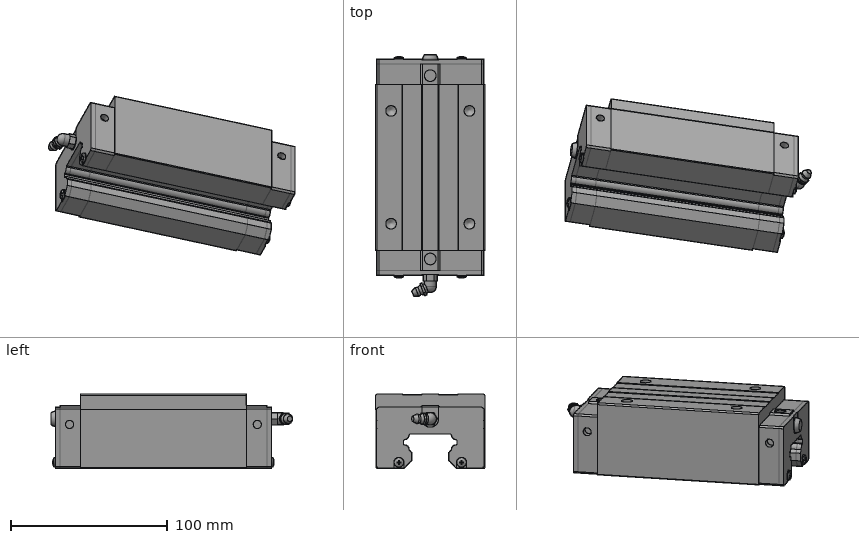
import cadquery as cq
import math

block_width = 70.0
block_length = 106.0
block_height = 47.5
block_chamfer = 1.0
block_bottom_chamfer = 0.5
datum_relief = 0.4
datum_height = 37.6

recess_inner_x = 5.1
recess_outer_x = 18.0
recess_depth = 0.4

mount_pitch_x = 50.0
mount_pitch_y = 72.0
mount_diameter = 6.8
mount_depth = 14.0
drill_point_angle = 118.0

rail_roof_z = 21.8
rail_roof_half_width = 13.0
upper_bulge_start = (13.5, 21.2)
upper_bulge_middle = (14.1, 19.6)
upper_bulge_end = (16.5, 18.2)
rail_widest_x = 17.0
rail_widest_top_z = 17.8
rail_widest_bottom_z = 15.4
lower_bulge_start = (16.5, 15.0)
lower_bulge_middle = (14.2, 14.0)
lower_bulge_end = (13.5, 12.0)
rail_throat_x = 11.8
rail_throat_top_z = 10.0
rail_throat_bottom_z = 5.0
rail_mouth_x = 16.6

cap_width = 68.6
cap_height = 39.0
cap_chamfer_width = 1.5
cap_chamfer_height = 1.0
cap_bottom_chamfer = 1.2
cap_length = 13.0
plate_thickness = 3.0
cap_end_y = block_length / 2 + cap_length
plate_end_y = cap_end_y + plate_thickness

pad_top_width = 9.8
pad_base_width = 12.5
pad_rise = 1.2
port_diameter = 7.4
port_depth = 0.8
port_y = 58.5

side_port_diameter = 5.2
side_port_depth = 5.0
side_port_y = 59.9
side_port_z = 28.0

fitting_z = 31.6
seat_radius = 5.35
seat_depth = 0.5
seat_floor_y = plate_end_y - seat_depth

screw_x = 20.0
screw_z = 3.8
screw_seat_radius = 3.2
screw_head_radius = 3.05
screw_rim_height = 0.8
screw_dome_mid_radius = 1.8
screw_dome_mid_height = 1.45
screw_head_height = 1.7
cross_length = 2.6
cross_width = 0.6
cross_depth = 0.8

plug_end_y = 71.85
plug_base_radius = 5.0
plug_tip_radius = 3.75
plug_mid_radius = 4.6

hex_flats = 8.0
hex_end_y = 72.7
elbow_radius = 3.9
elbow_y = 76.03
nipple_angle = 22.5
collar_flats = 7.3
collar_start = 4.0
collar_end = 5.5
flare_radius = 3.5
neck_radius = 2.6
neck_distance = 7.5
nipple_head_radius = 3.17
nipple_head_distance = 9.15
nipple_tip_radius = 1.75
nipple_tip_distance = 12.1


def end_prism(profile, y_start, y_end):
    """Prism along Y between two positions, from a profile on the XZ plane."""
    return profile.extrude(y_start - y_end).translate((0, y_start, 0))


def mirrored(shape):
    """Copy of a shape mirrored to the other end of the carriage."""
    return shape.mirror("XZ")


def rail_opening():
    """Rail passage: a flat roof, two convex raceway bulges each side and a flared mouth."""
    passage_end = plate_end_y + 1
    below_block = -1
    right_side = (
        cq.Workplane("XZ")
        .moveTo(0, rail_roof_z)
        .lineTo(rail_roof_half_width, rail_roof_z)
        .lineTo(*upper_bulge_start)
        .threePointArc(upper_bulge_middle, upper_bulge_end)
        .lineTo(rail_widest_x, rail_widest_top_z)
        .lineTo(rail_widest_x, rail_widest_bottom_z)
        .lineTo(*lower_bulge_start)
        .threePointArc(lower_bulge_middle, lower_bulge_end)
        .lineTo(rail_throat_x, rail_throat_top_z)
        .lineTo(rail_throat_x, rail_throat_bottom_z)
        .lineTo(rail_mouth_x, 0)
        .lineTo(rail_mouth_x, below_block)
        .lineTo(0, below_block)
        .close()
    )
    right_side = end_prism(right_side, -passage_end, passage_end)
    return right_side.union(right_side.mirror("YZ"))


def carriage_block():
    """Central block with its datum step, top recesses and mounting holes."""
    half = block_width / 2
    relieved = half - datum_relief
    top_edge_x = half - block_chamfer
    recess_floor = block_height - recess_depth
    right_profile = [
        (half, block_height - block_chamfer),
        (half, block_bottom_chamfer),
        (half - block_bottom_chamfer, 0),
    ]
    left_profile = [
        (block_bottom_chamfer - relieved, 0),
        (-relieved, block_bottom_chamfer),
        (-relieved, datum_height),
        (-half, datum_height),
        (-half, block_height - block_chamfer),
    ]
    top_profile = [
        (-top_edge_x, block_height),
        (-recess_outer_x, block_height),
        (-recess_outer_x + recess_depth, recess_floor),
        (-recess_inner_x - recess_depth, recess_floor),
        (-recess_inner_x, block_height),
        (recess_inner_x, block_height),
        (recess_inner_x + recess_depth, recess_floor),
        (recess_outer_x - recess_depth, recess_floor),
        (recess_outer_x, block_height),
        (top_edge_x, block_height),
    ]
    outline = cq.Workplane("XZ").polyline(right_profile + left_profile + top_profile).close()
    block = end_prism(outline, -block_length / 2, block_length / 2)
    for x in (-mount_pitch_x / 2, mount_pitch_x / 2):
        for y in (-mount_pitch_y / 2, mount_pitch_y / 2):
            block = block.cut(mounting_hole().translate((x, y, block_height)))
    return block


def mounting_hole():
    """Blind drilled hole with a conical bottom, opening at the origin."""
    radius = mount_diameter / 2
    point_length = radius / math.tan(math.radians(drill_point_angle / 2))
    return (
        cq.Workplane("XZ")
        .polyline([(0, 0), (radius, 0), (radius, -mount_depth), (0, -mount_depth - point_length)])
        .close()
        .revolve(360, (0, 0, 0), (0, 1, 0))
    )


def cap_outline():
    """Outer outline common to the end caps and scraper plates."""
    half = cap_width / 2
    return cq.Workplane("XZ").polyline([
        (half - cap_bottom_chamfer, 0),
        (half, cap_bottom_chamfer),
        (half, cap_height - cap_chamfer_height),
        (half - cap_chamfer_width, cap_height),
        (cap_chamfer_width - half, cap_height),
        (-half, cap_height - cap_chamfer_height),
        (-half, cap_bottom_chamfer),
        (cap_bottom_chamfer - half, 0),
    ]).close()


def end_cap():
    """End cap on the -Y end with its raised pad and lube ports."""
    cap = end_prism(cap_outline(), -cap_end_y, -block_length / 2)
    pad_top_z = cap_height + pad_rise
    pad = cq.Workplane("XZ").polyline([
        (-pad_base_width / 2, cap_height),
        (pad_base_width / 2, cap_height),
        (pad_top_width / 2, pad_top_z),
        (-pad_top_width / 2, pad_top_z),
    ]).close()
    cap = cap.union(end_prism(pad, -cap_end_y, -block_length / 2))
    top_port = (
        cq.Workplane("XY", origin=(0, -port_y, pad_top_z - port_depth))
        .circle(port_diameter / 2)
        .extrude(port_depth)
    )
    side_port = (
        cq.Workplane("YZ", origin=(-cap_width / 2, -side_port_y, side_port_z))
        .circle(side_port_diameter / 2)
        .extrude(side_port_depth)
    )
    return cap.cut(top_port).cut(side_port).cut(side_port.mirror("YZ"))


def u_seat(radius, x, z, open_z):
    """U-shaped pocket in the -Y plate face, running from a round end to open_z."""
    front = cq.Workplane("XZ", origin=(x, -plate_end_y, z))
    slot = front.center(0, (open_z - z) / 2).rect(2 * radius, abs(open_z - z))
    return slot.extrude(-seat_depth).union(front.circle(radius).extrude(-seat_depth))


def scraper_plate():
    """Scraper plate on the -Y end with the fitting seat and screw seats."""
    plate = end_prism(cap_outline(), -plate_end_y, -cap_end_y)
    plate = plate.cut(u_seat(seat_radius, 0, fitting_z, cap_height))
    for x in (-screw_x, screw_x):
        plate = plate.cut(u_seat(screw_seat_radius, x, screw_z, 0))
    return plate


def screw_head():
    """Domed screw head with a cross recess, standing out of the -Y plate face."""
    head = (
        cq.Workplane("XY")
        .moveTo(0, seat_depth)
        .lineTo(screw_head_radius, seat_depth)
        .lineTo(screw_head_radius, -screw_rim_height)
        .threePointArc((screw_dome_mid_radius, -screw_dome_mid_height), (0, -screw_head_height))
        .close()
        .revolve(360, (0, 0, 0), (0, 1, 0))
    )
    for size_x, size_z in ((cross_length, cross_width), (cross_width, cross_length)):
        slot = cq.Workplane("XY").box(size_x, 2 * cross_depth, size_z)
        head = head.cut(slot.translate((0, -screw_head_height, 0)))
    return head.translate((0, -plate_end_y, screw_z))


def plug():
    """Domed plug filling the fitting seat on the +Y end."""
    mid_y = (plate_end_y + plug_end_y) / 2
    return (
        cq.Workplane("XY")
        .moveTo(0, seat_floor_y)
        .lineTo(plug_base_radius, seat_floor_y)
        .lineTo(plug_base_radius, plate_end_y)
        .threePointArc((plug_mid_radius, mid_y), (plug_tip_radius, plug_end_y))
        .lineTo(0, plug_end_y)
        .close()
        .revolve(360, (0, 0, 0), (0, 1, 0))
        .translate((0, 0, fitting_z))
    )


def hexagon_bar(flats, y_start, y_end):
    """Hexagonal bar along Y with two corners on the X axis."""
    return end_prism(cq.Workplane("XZ").polygon(6, flats / math.cos(math.pi / 6)), y_start, y_end)


def grease_nipple():
    """Hex base, round elbow and angled nipple with hex collar on the -Y end."""
    base = hexagon_bar(hex_flats, -hex_end_y, -seat_floor_y)
    elbow = end_prism(cq.Workplane("XZ").circle(elbow_radius), -elbow_y, -hex_end_y)
    elbow = elbow.union(cq.Workplane("XY").sphere(elbow_radius).translate((0, -elbow_y, 0)))
    spout = (
        cq.Workplane("XY")
        .polyline([
            (0, 0),
            (neck_radius, 0),
            (flare_radius, -collar_end),
            (neck_radius, -neck_distance),
            (nipple_head_radius, -nipple_head_distance),
            (nipple_tip_radius, -nipple_tip_distance),
            (0, -nipple_tip_distance),
        ])
        .close()
        .revolve(360, (0, 0, 0), (0, 1, 0))
        .union(hexagon_bar(collar_flats, -collar_end, -collar_start))
        .rotate((0, 0, 0), (0, 0, 1), nipple_angle - 90)
        .translate((0, -elbow_y, 0))
    )
    return base.union(elbow).union(spout).translate((0, 0, fitting_z))


opening = rail_opening()
cap = end_cap().cut(opening)
plate = scraper_plate().cut(opening)
screws = [screw_head().translate((x, 0, 0)) for x in (-screw_x, screw_x)]

result = carriage_block().cut(opening)
for component in [cap, plate] + screws:
    result = result.union(component, clean=False)
    result = result.union(mirrored(component), clean=False)
result = result.union(plug(), clean=False)
result = result.union(grease_nipple(), clean=False)